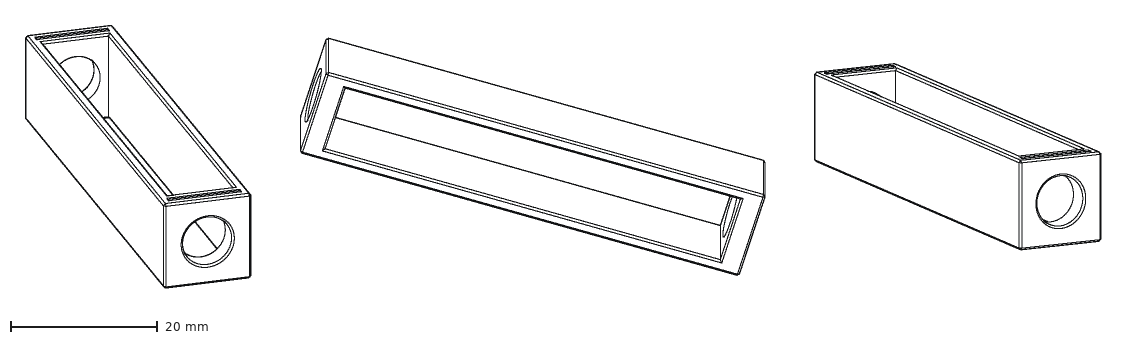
import cadquery as cq

length = 62.5
side = 12.5
edge_chamfer = 0.3

end_wall = 3.1
side_wall = 1.55
window_length = length - 2 * end_wall
window_width = side - 2 * side_wall

hole_diameter = 7.0

recess_width = 0.9
recess_length = 10.4
recess_depth = 0.2
recess_inset = 1.1
recess_center = length / 2 - recess_inset - recess_width / 2


def make_block():
    return cq.Workplane("XY").box(length, side, side).edges().chamfer(edge_chamfer)


def flared_window():
    """Window cutter that widens by the chamfer size at the top and bottom faces."""
    cutter = cq.Workplane("XY").box(window_length, window_width, side)
    for face in (">Z", "<Z"):
        mouth = (
            cutter.faces(face)
            .workplane()
            .rect(window_length + 2 * edge_chamfer, window_width + 2 * edge_chamfer)
            .workplane(offset=-edge_chamfer)
            .rect(window_length, window_width)
            .loft(combine=False)
        )
        cutter = cutter.union(mouth)
    return cutter


def flared_hole():
    """Hole cutter along X that widens by the chamfer size at both end faces."""
    radius = hole_diameter / 2
    mouth_radius = radius + edge_chamfer
    half = length / 2
    profile = [
        (-half, 0),
        (-half, mouth_radius),
        (-half + edge_chamfer, radius),
        (half - edge_chamfer, radius),
        (half, mouth_radius),
        (half, 0),
    ]
    return cq.Workplane("XY").polyline(profile).close().revolve(360, (0, 0, 0), (1, 0, 0))


def end_recesses():
    """Pair of shallow recess cutters, one on each end wall."""
    return (
        cq.Workplane("XY", origin=(0, 0, side / 2))
        .pushPoints([(-recess_center, 0), (recess_center, 0)])
        .rect(recess_width, recess_length)
        .extrude(-recess_depth)
    )


result = make_block().cut(flared_window()).cut(flared_hole()).cut(end_recesses())